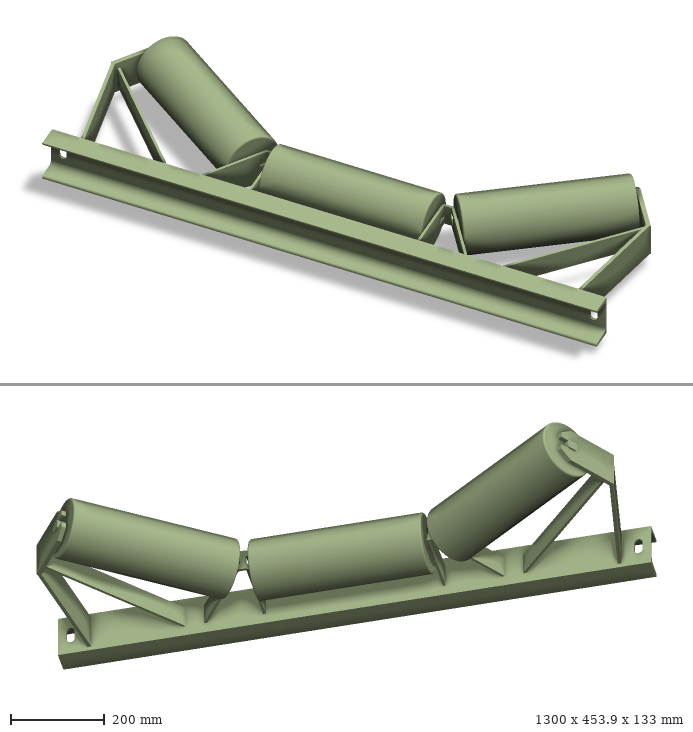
import cadquery as cq
import math

channel_length = 1300.0
channel_height = 100.0
channel_depth = 50.0
web_thickness = 6.0
flange_thickness = 8.5
flange_slope = 0.08
root_radius = 8.5
toe_radius = 4.5
bolt_slot_width = 18.0
bolt_slot_height = 38.0
bolt_slot_edge_distance = 28.0

roller_diameter = 133.0
roller_length = 380.0
roller_edge_radius = 4.0
shaft_diameter = 28.0
shaft_flat_width = 20.0
end_gap = 4.0
outer_shaft_overhang = 4.0
trough_angle = 35.0
centre_roller_y = 116.5
side_roller_x = -397.0
side_roller_y = 242.0

outer_width = 80.0
outer_plate_thickness = 10.0
outer_leg_thickness = 8.0
outer_plate_above_shaft = 29.0
outer_plate_below_shaft = 120.0
outer_corner_length = 27.0
outer_corner_height = 18.0
outer_leg_foot_x = -581.0
outer_leg_angle = 10.0
inner_width = 50.0
inner_thickness = 6.0
inner_top_above_shaft = 40.0
inner_bend_radius = 8.0
brace_width = 50.0
brace_thickness = 6.0
brace_foot_x = -373.5
brace_drop_from_shaft = 106.0

bracket_face = roller_length / 2 + end_gap
slot_reach = 2 * outer_plate_above_shaft
tilt = math.radians(trough_angle)
side_roller_centre = (side_roller_x, side_roller_y)
axis_dir = (math.cos(tilt), -math.sin(tilt))
plate_dir = (math.sin(tilt), math.cos(tilt))
along_x = (1.0, 0.0)


def step(point, *moves):
    """Move a 2D point by any number of (direction, distance) pairs."""
    x, y = point
    for (dx, dy), distance in moves:
        x += dx * distance
        y += dy * distance
    return (x, y)


def meet(point_a, dir_a, point_b, dir_b):
    """Crossing point of two 2D lines."""
    cross = dir_a[0] * dir_b[1] - dir_a[1] * dir_b[0]
    gap_x = point_b[0] - point_a[0]
    gap_y = point_b[1] - point_a[1]
    distance = (gap_x * dir_b[1] - gap_y * dir_b[0]) / cross
    return step(point_a, (dir_a, distance))


def extrude_plan(points, width):
    """Extrude an XY outline by a width centred on Z = 0."""
    return cq.Workplane("XY").polyline(points).close().extrude(width / 2, both=True)


def centred_cylinder(diameter, length):
    """Cylinder along X, centred on the origin."""
    return cq.Workplane("YZ", origin=(-length / 2, 0, 0)).circle(diameter / 2).extrude(length)


def mirrored(body):
    return body.mirror("YZ")


def on_side_axis(body):
    """Carry a body from an X axis through the origin onto the left roller axis."""
    turned = body.rotate((0, 0, 0), (0, 0, 1), -trough_angle)
    return turned.translate((side_roller_x, side_roller_y, 0))


def make_channel():
    half_height = channel_height / 2
    slope_drop = flange_slope * channel_depth / 2
    toe_z = half_height - flange_thickness + slope_drop
    root_z = toe_z - flange_slope * (channel_depth - web_thickness)
    profile = [
        (0, -half_height),
        (0, half_height),
        (-channel_depth, half_height),
        (-channel_depth, toe_z),
        (-web_thickness, root_z),
        (-web_thickness, -root_z),
        (-channel_depth, -toe_z),
        (-channel_depth, -half_height),
    ]
    channel = cq.Workplane("YZ").polyline(profile).close().extrude(channel_length / 2, both=True)

    tolerance = 0.1

    def edges_at(y, z):
        half_span = channel_length / 2 + tolerance
        low = (-half_span, y - tolerance, z - tolerance)
        high = (half_span, y + tolerance, z + tolerance)
        return cq.selectors.BoxSelector(low, high, boundingbox=True)

    for side in (1, -1):
        channel = channel.edges(edges_at(-web_thickness, side * root_z)).fillet(root_radius)
        channel = channel.edges(edges_at(-channel_depth, side * toe_z)).fillet(toe_radius)

    slot_x = channel_length / 2 - bolt_slot_edge_distance
    slots = (
        cq.Workplane("XZ")
        .pushPoints([(-slot_x, 0), (slot_x, 0)])
        .slot2D(bolt_slot_height, bolt_slot_width, 90)
        .extrude(web_thickness)
    )
    return channel.cut(slots)


def make_flatted_shaft(length):
    """Flatted shaft running both ways from the origin along X."""
    rod = centred_cylinder(shaft_diameter, length)
    flats = cq.Workplane("XY").box(length, shaft_diameter, shaft_flat_width)
    return rod.intersect(flats)


def make_roller(left_seat, right_seat):
    """Roller along X: round shaft up to each bracket, flats for each seat."""
    shell = centred_cylinder(roller_diameter, roller_length)
    shell = shell.faces("<X or >X").edges().fillet(roller_edge_radius)
    journal = centred_cylinder(shaft_diameter, 2 * bracket_face)
    left_end = bracket_face + left_seat
    right_end = bracket_face + right_seat
    flats = make_flatted_shaft(left_end + right_end)
    flats = flats.translate(((right_end - left_end) / 2, 0, 0))
    return shell.union(journal).union(flats)


def make_shaft_slot(side, thickness):
    """Open slot for a flatted shaft end, cut through a bracket on one side (-1 or 1)."""
    reach = bracket_face + thickness
    seat = make_flatted_shaft(2 * reach)
    mouth = cq.Workplane("XY").box(2 * reach, slot_reach, shaft_flat_width)
    mouth = mouth.translate((0, slot_reach / 2, 0))
    one_side = cq.Workplane("XY").box(2 * reach, 2 * slot_reach, outer_width)
    return seat.union(mouth).intersect(one_side.translate((side * reach, 0, 0)))


plate_face = step(side_roller_centre, (axis_dir, -bracket_face))
plate_back = step(plate_face, (axis_dir, -outer_plate_thickness))


def make_outer_bracket():
    plate = extrude_plan(
        [
            step(plate_face, (plate_dir, outer_plate_above_shaft)),
            step(plate_back, (plate_dir, outer_plate_above_shaft)),
            step(plate_back, (plate_dir, -outer_plate_below_shaft)),
            step(plate_face, (plate_dir, -outer_plate_below_shaft)),
        ],
        outer_width,
    )

    half_width = outer_width / 2
    corner_start = outer_plate_above_shaft - outer_corner_length
    face_outline = [
        (corner_start, half_width),
        (outer_plate_above_shaft, half_width - outer_corner_height),
        (outer_plate_above_shaft, outer_corner_height - half_width),
        (corner_start, -half_width),
        (-outer_plate_below_shaft, -half_width),
        (-outer_plate_below_shaft, half_width),
    ]
    trim = cq.Workplane("YZ").polyline(face_outline).close().extrude(-2 * bracket_face)
    plate = plate.intersect(on_side_axis(trim))
    plate = plate.cut(on_side_axis(make_shaft_slot(-1, outer_plate_thickness)))

    lean = math.radians(outer_leg_angle)
    leg_dir = (-math.sin(lean), math.cos(lean))
    half_foot = outer_leg_thickness / 2 / math.cos(lean)
    outer_foot = (outer_leg_foot_x - half_foot, 0)
    inner_foot = (outer_leg_foot_x + half_foot, 0)
    plate_end = step(plate_back, (plate_dir, -outer_plate_below_shaft))
    leg = extrude_plan(
        [
            outer_foot,
            meet(outer_foot, leg_dir, plate_end, axis_dir),
            meet(inner_foot, leg_dir, plate_face, plate_dir),
            inner_foot,
        ],
        outer_width,
    )
    return plate.union(leg)


def make_brace():
    top = step(plate_face, (plate_dir, -brace_drop_from_shaft))
    run = top[0] - brace_foot_x
    length = math.hypot(run, top[1])
    brace_dir = (run / length, top[1] / length)
    half_foot = brace_thickness / 2 / brace_dir[1]
    low_foot = (brace_foot_x - half_foot, 0)
    high_foot = (brace_foot_x + half_foot, 0)
    return extrude_plan(
        [
            low_foot,
            meet(low_foot, brace_dir, plate_face, plate_dir),
            meet(high_foot, brace_dir, plate_face, plate_dir),
            high_foot,
        ],
        brace_width,
    )


def make_inner_bracket():
    upright_face = -bracket_face
    upright_back = upright_face - inner_thickness
    top_y = centre_roller_y + inner_top_above_shaft
    under_y = top_y - inner_thickness
    slant_face = step(side_roller_centre, (axis_dir, bracket_face))
    slant_back = step(slant_face, (axis_dir, inner_thickness))
    outline = [
        (upright_face, 0),
        (upright_face, top_y),
        meet(slant_face, plate_dir, (0, top_y), along_x),
        meet(slant_face, plate_dir, (0, 0), along_x),
        meet(slant_back, plate_dir, (0, 0), along_x),
        meet(slant_back, plate_dir, (0, under_y), along_x),
        (upright_back, under_y),
        (upright_back, 0),
    ]
    bracket = extrude_plan(outline, inner_width)
    bracket = bracket.edges("|Z").edges(">Y").fillet(inner_bend_radius)
    centre_slot = make_shaft_slot(-1, inner_thickness).translate((0, centre_roller_y, 0))
    side_slot = on_side_axis(make_shaft_slot(1, inner_thickness))
    return bracket.cut(centre_slot).cut(side_slot)


channel = make_channel()
centre_roller = make_roller(inner_thickness, inner_thickness)
centre_roller = centre_roller.translate((0, centre_roller_y, 0))
left_roller = on_side_axis(make_roller(outer_plate_thickness + outer_shaft_overhang, inner_thickness))
left_parts = [left_roller, make_outer_bracket(), make_brace(), make_inner_bracket()]

bodies = [channel.solids().val(), centre_roller.solids().val()]
for part in left_parts:
    bodies.append(part.solids().val())
    bodies.append(mirrored(part).solids().val())

result = cq.Compound.makeCompound(bodies)